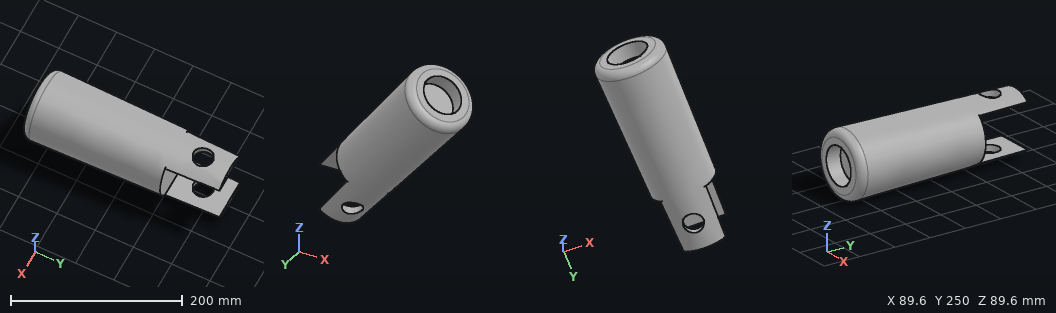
import cadquery as cq

length = 250.0
front_radius = 45.0
back_radius = 40.0
front_rounding = 10.0

bore_diameter = 50.0
bore_depth = 20.0

slot_height = 60.0
slot_depth = 70.0
pin_hole_diameter = 25.0
pin_hole_x = -0.8
pin_hole_y = length - slot_depth / 2


def tapered_body():
    """Solid cone frustum with a rounded front rim."""
    profile = (
        cq.Workplane("XY")
        .polyline([(0, 0), (front_radius, 0), (back_radius, length), (0, length)])
        .close()
    )
    body = profile.revolve(360, (0, 0, 0), (0, 1, 0))
    return body.faces("<Y").edges().fillet(front_rounding)


def front_bore():
    return cq.Workplane("XZ").circle(bore_diameter / 2).extrude(-bore_depth)


def back_slot():
    """Block spanning the full width in X and open at the back end."""
    slot = cq.Workplane("XY").box(2 * front_radius, slot_depth, slot_height)
    return slot.translate((0, length - slot_depth / 2, 0))


def pin_hole():
    """Cylinder along Z through both lugs."""
    return (
        cq.Workplane("XY")
        .center(pin_hole_x, pin_hole_y)
        .circle(pin_hole_diameter / 2)
        .extrude(front_radius, both=True)
    )


result = tapered_body().cut(front_bore()).cut(back_slot()).cut(pin_hole())